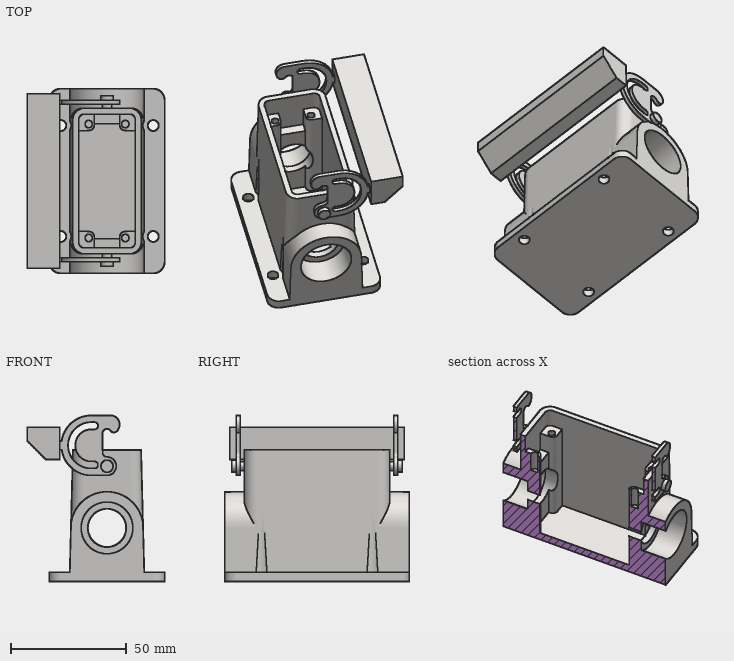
import cadquery as cq
import math

plate_width = 50.0
plate_length = 80
plate_thickness = 4.2
plate_corner_radius = 5.0
screw_x = 20
screw_y = 24
screw_hole_radius = 2.3
screw_head_radius = 4.5

hood_top = 57.0
hood_half_base = 16.2
hood_half_top = 14.8
hood_length = 63.0
hood_corner_radius = 5.0
cavity_width = 24.5
cavity_length = 57.9
cavity_corner_radius = 2.5
cavity_floor = plate_thickness

entry_z = 23.3
entry_bore_radius = 11.2
entry_hole_radius = 8.2
entry_bore_depth = 12
entry_wall_inner_y = 24.9
entry_ledge_top = 38.8

boss_inner_x = 5.5
boss_inner_y = 21.8
boss_round = 2.3
boss_top = 48.2
boss_hole_x = 7.9
boss_hole_y = 24.6
boss_hole_radius = 1.6
boss_hole_depth = 9.6

pivot_z = 50.0
pivot_pin_radius = 2.0
pivot_head_radius = 2.6
pivot_head_end_y = 37.0
lever_eye_radius = 4
lever_inner_y = 33.2
lever_thickness = 1.8
lever_top = 72
lever_arc_x = -6.8
notch_radius = 1.9
notch_z = 64.2
hook_outer_radius = 4
hook_center_x = 1.5
hook_tip_radius = 2.2
slot_outer_radius = 10.0
slot_inner_radius = 7.0
slot_end_x = -5.4
neck_height = 3.9
grip_size = 14.1
grip_flat = 6.0
grip_length = 75.7
grip_top = 66.9
overall_width = 59.5

lever_bottom = pivot_z - lever_eye_radius
lever_arc_z = (lever_top + lever_bottom) / 2
lever_arc_radius = (lever_top - lever_bottom) / 2
lever_outer_y = lever_inner_y + lever_thickness
grip_left = plate_width / 2 - overall_width
grip_right = grip_left + grip_size
taper_angle = math.atan((hood_half_base - hood_half_top) / (hood_top - plate_thickness))
SIGNS = (-1, 1)


def hood_half_width(z):
    """Half width of the tapered hood at height z."""
    return hood_half_base - (z - plate_thickness) * math.tan(taper_angle)


def along_y(profile, start_y, end_y):
    """Extrude an XZ profile between two Y positions."""
    return profile.extrude(start_y - end_y).translate((0, start_y, 0))


def block(x_range, y_range, z_range):
    """Axis-aligned box from its limits."""
    spans = [high - low for low, high in (x_range, y_range, z_range)]
    corner = (x_range[0], y_range[0], z_range[0])
    return cq.Workplane("XY").box(*spans, centered=False).translate(corner)


def cylinder_y(radius, z, start_y, end_y):
    """Cylinder along Y on the plane of symmetry."""
    return along_y(cq.Workplane("XZ").center(0, z).circle(radius), start_y, end_y)


def make_plate():
    plate = cq.Workplane("XY").rect(plate_width, plate_length).extrude(plate_thickness)
    return plate.edges("|Z").fillet(plate_corner_radius)


def make_hood():
    profile = cq.Workplane("XZ").polyline([
        (-hood_half_base, plate_thickness),
        (hood_half_base, plate_thickness),
        (hood_half_top, hood_top),
        (-hood_half_top, hood_top),
    ]).close()
    hood = along_y(profile, -hood_length / 2, hood_length / 2)
    return hood.edges("not(|X or |Y)").fillet(hood_corner_radius)


def make_entry_housing():
    """Full-length block whose sides follow the hood taper up to a tangent dome."""
    dome_radius = hood_half_width(entry_z) * math.cos(taper_angle)
    tangent_x = dome_radius * math.cos(taper_angle)
    tangent_z = entry_z + dome_radius * math.sin(taper_angle)
    profile = (
        cq.Workplane("XZ")
        .moveTo(-hood_half_base, plate_thickness)
        .lineTo(hood_half_base, plate_thickness)
        .lineTo(tangent_x, tangent_z)
        .threePointArc((0, entry_z + dome_radius), (-tangent_x, tangent_z))
        .close()
    )
    return along_y(profile, -plate_length / 2, plate_length / 2)


def make_cavity():
    """Hood cavity, less the corner bosses and the thick entry walls that stay in it."""
    cavity = (
        cq.Workplane("XY", origin=(0, 0, cavity_floor))
        .rect(cavity_width, cavity_length)
        .extrude(hood_top - cavity_floor)
        .edges("|Z").fillet(cavity_corner_radius)
    )
    for end in SIGNS:
        wall_y = sorted((end * entry_wall_inner_y, end * cavity_length / 2))
        cavity = cavity.cut(
            block((-boss_inner_x, boss_inner_x), wall_y, (cavity_floor, entry_ledge_top))
        )
        for side in SIGNS:
            boss_x = sorted((side * boss_inner_x, side * cavity_width / 2))
            boss_y = sorted((end * boss_inner_y, end * cavity_length / 2))
            boss = block(boss_x, boss_y, (cavity_floor, boss_top))
            inner_corner = cq.selectors.NearestToPointSelector(
                (side * boss_inner_x, end * boss_inner_y, (cavity_floor + boss_top) / 2)
            )
            cavity = cavity.cut(boss.edges(inner_corner).fillet(boss_round))
    return cavity


def make_boss_holes():
    return (
        cq.Workplane("XY", origin=(0, 0, boss_top))
        .rect(2 * boss_hole_x, 2 * boss_hole_y, forConstruction=True)
        .vertices().circle(boss_hole_radius).extrude(-boss_hole_depth)
    )


def make_screw_clearance():
    """Plate screw holes with room for the screw heads above the plate."""
    centers = [(side * screw_x, end * screw_y) for side in SIGNS for end in SIGNS]
    holes = cq.Workplane("XY").pushPoints(centers).circle(screw_hole_radius).extrude(plate_thickness)
    heads = (
        cq.Workplane("XY", origin=(0, 0, plate_thickness))
        .pushPoints(centers).circle(screw_head_radius)
        .extrude(hood_top - plate_thickness)
    )
    return holes.union(heads)


def make_entry_bores():
    end_y = plate_length / 2
    bores = cylinder_y(entry_hole_radius, entry_z, -end_y, end_y)
    for end in SIGNS:
        bores = bores.union(
            cylinder_y(entry_bore_radius, entry_z, end * end_y, end * (end_y - entry_bore_depth))
        )
    return bores


def make_lever_slot():
    """C-shaped slot with straight, rounded ends."""
    def at_z(radius):
        return lever_arc_z + radius

    end_radius = (slot_outer_radius - slot_inner_radius) / 2
    mid_radius = (slot_outer_radius + slot_inner_radius) / 2
    return along_y(
        cq.Workplane("XZ")
        .moveTo(slot_end_x, at_z(slot_outer_radius))
        .lineTo(lever_arc_x, at_z(slot_outer_radius))
        .threePointArc(
            (lever_arc_x - slot_outer_radius, lever_arc_z), (lever_arc_x, at_z(-slot_outer_radius))
        )
        .lineTo(slot_end_x, at_z(-slot_outer_radius))
        .threePointArc(
            (slot_end_x + end_radius, at_z(-mid_radius)), (slot_end_x, at_z(-slot_inner_radius))
        )
        .lineTo(lever_arc_x, at_z(-slot_inner_radius))
        .threePointArc(
            (lever_arc_x - slot_inner_radius, lever_arc_z), (lever_arc_x, at_z(slot_inner_radius))
        )
        .lineTo(slot_end_x, at_z(slot_inner_radius))
        .threePointArc(
            (slot_end_x + end_radius, at_z(mid_radius)), (slot_end_x, at_z(slot_outer_radius))
        )
        .close(),
        lever_inner_y, lever_outer_y,
    )


def make_lever_plate():
    """Side plate with the pivot eye at the bottom and the latch hook at the top."""
    eye_top = pivot_z + lever_eye_radius
    lower_corner_z = eye_top + notch_radius
    hook_z = lever_top - hook_outer_radius
    diagonal = math.sqrt(0.5)
    tip_offset = (hook_outer_radius - hook_tip_radius) * diagonal
    outer_diagonal = hook_outer_radius * diagonal
    profile = (
        cq.Workplane("XZ")
        .moveTo(lever_arc_x, lever_bottom)
        .lineTo(0, lever_bottom)
        .threePointArc((lever_eye_radius, pivot_z), (0, eye_top))
        .threePointArc(
            (-notch_radius * diagonal, lower_corner_z - notch_radius * diagonal),
            (-notch_radius, lower_corner_z),
        )
        .lineTo(-notch_radius, notch_z)
        .threePointArc(
            (0, notch_z + notch_radius),
            (notch_radius * diagonal, notch_z + notch_radius * diagonal),
        )
        .threePointArc(
            (hook_center_x + tip_offset, hook_z - tip_offset - hook_tip_radius),
            (hook_center_x + outer_diagonal, hook_z - outer_diagonal),
        )
        .threePointArc(
            (hook_center_x + outer_diagonal, hook_z + outer_diagonal), (hook_center_x, lever_top)
        )
        .lineTo(lever_arc_x, lever_top)
        .threePointArc((lever_arc_x - lever_arc_radius, lever_arc_z), (lever_arc_x, lever_bottom))
        .close()
    )
    return along_y(profile, lever_inner_y, lever_outer_y).cut(make_lever_slot())


def make_lever_side():
    """One lever plate with its neck to the grip and its pivot pin."""
    neck_end_x = lever_arc_x - (lever_arc_radius + slot_outer_radius) / 2
    neck = block(
        (grip_right, neck_end_x),
        (lever_inner_y, lever_outer_y),
        (lever_arc_z - neck_height / 2, lever_arc_z + neck_height / 2),
    )
    pin_start_y = (hood_length + cavity_length) / 4
    pin = cylinder_y(pivot_pin_radius, pivot_z, pin_start_y, lever_outer_y)
    head = cylinder_y(pivot_head_radius, pivot_z, lever_outer_y, pivot_head_end_y)
    return make_lever_plate().union(neck).union(pin).union(head)


def make_grip():
    grip_bottom = grip_top - grip_size
    profile = cq.Workplane("XZ").polyline([
        (grip_left, grip_top),
        (grip_right, grip_top),
        (grip_right, grip_bottom),
        (grip_right - grip_flat, grip_bottom),
        (grip_left, grip_top - grip_flat),
    ]).close()
    return along_y(profile, -grip_length / 2, grip_length / 2)


housing = make_plate().union(make_hood()).union(make_entry_housing())
housing = housing.cut(make_screw_clearance()).cut(make_cavity())
housing = housing.cut(make_boss_holes()).cut(make_entry_bores())

lever_side = make_lever_side()
result = housing.union(make_grip()).union(lever_side).union(lever_side.mirror("XZ"))